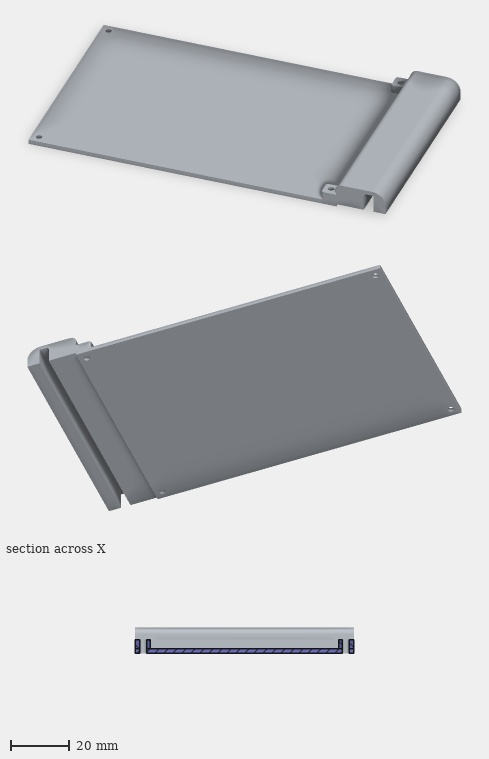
import cadquery as cq

total_length = 131.0
width = 75.6
total_height = 9.0

plate_length = 112.9
plate_thickness = 1.7
hole_diameter = 2.2
hole_inset = 2.9

rail_bottom = 0.9
rail_wall_x = plate_length
front_round = 2.2
back_round = 5.0
ledge_x = 112.5
tab_width = 5.4
tab_top = 4.8
tab_corner_radius = 0.85
tab_start_x = 107.4
tab_hole_x = 110.0

lip_thickness = 4.5
slot_width = 3.5
slot_top = 7.5
slot_corner_radius = 1.0
slot_end_x = total_length - lip_thickness
slot_start_x = slot_end_x - slot_width

hole_y_positions = (hole_inset, width - hole_inset)


def vertical_holes(x_positions):
    """Cutters for holes near both long edges, taller than every body."""
    points = [(x, y) for x in x_positions for y in hole_y_positions]
    return cq.Workplane("XY").pushPoints(points).circle(hole_diameter / 2).extrude(total_height)


def make_plate():
    plate = cq.Workplane("XY").box(plate_length, width, plate_thickness, centered=False)
    return plate.cut(vertical_holes((hole_inset, tab_hole_x)))


def rail_profile():
    """Rail cross-section, swept along the full width."""
    return (
        cq.Workplane("XZ")
        .moveTo(plate_length, rail_bottom)
        .lineTo(plate_length, plate_thickness)
        .lineTo(ledge_x, plate_thickness)
        .lineTo(ledge_x, tab_top)
        .lineTo(rail_wall_x, tab_top)
        .lineTo(rail_wall_x, total_height - front_round)
        .radiusArc((rail_wall_x + front_round, total_height), front_round)
        .lineTo(total_length - back_round, total_height)
        .radiusArc((total_length, total_height - back_round), back_round)
        .lineTo(total_length, rail_bottom)
        .lineTo(slot_end_x, rail_bottom)
        .lineTo(slot_end_x, slot_top)
        .lineTo(slot_start_x + slot_corner_radius, slot_top)
        .radiusArc((slot_start_x, slot_top - slot_corner_radius), -slot_corner_radius)
        .lineTo(slot_start_x, rail_bottom)
        .close()
        .extrude(-width)
    )


def make_tab(y_start):
    """Mounting tab with its two free vertical corners rounded."""
    return (
        cq.Workplane("XY", origin=(tab_start_x, y_start, plate_thickness))
        .box(ledge_x - tab_start_x, tab_width, tab_top - plate_thickness, centered=False)
        .edges("|Z and <X")
        .fillet(tab_corner_radius)
    )


def make_rail():
    rail = rail_profile()
    for y_start in (0, width - tab_width):
        rail = rail.union(make_tab(y_start))
    return rail.cut(vertical_holes((tab_hole_x,)))


plate = make_plate()
rail = make_rail()

result = cq.Compound.makeCompound([plate.val(), rail.val()])